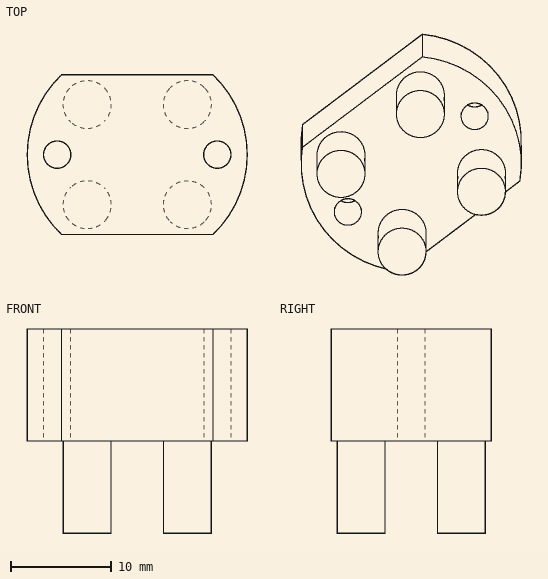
import cadquery as cq

body_diameter = 22.0
body_width = 16.0
body_height = 11.22
total_height = 20.44

pin_diameter = 4.8
pin_spacing = 10.0
pin_length = total_height - body_height

hole_diameter = 2.7
hole_spacing = 16.0


def make_body():
    """Round block, base on Z = 0, trimmed by flats facing -Y and +Y."""
    round_block = cq.Workplane("XY").circle(body_diameter / 2).extrude(body_height)
    flat_limits = cq.Workplane("XY").rect(body_diameter, body_width).extrude(body_height)
    return round_block.intersect(flat_limits)


def make_pins():
    """Four pins hanging from the underside of the body."""
    return (
        cq.Workplane("XY")
        .rect(pin_spacing, pin_spacing, forConstruction=True)
        .vertices()
        .circle(pin_diameter / 2)
        .extrude(-pin_length)
    )


def make_holes():
    """Two vertical cutters through the full body height."""
    return (
        cq.Workplane("XY")
        .pushPoints([(-hole_spacing / 2, 0), (hole_spacing / 2, 0)])
        .circle(hole_diameter / 2)
        .extrude(body_height)
    )


result = make_body().union(make_pins()).cut(make_holes())